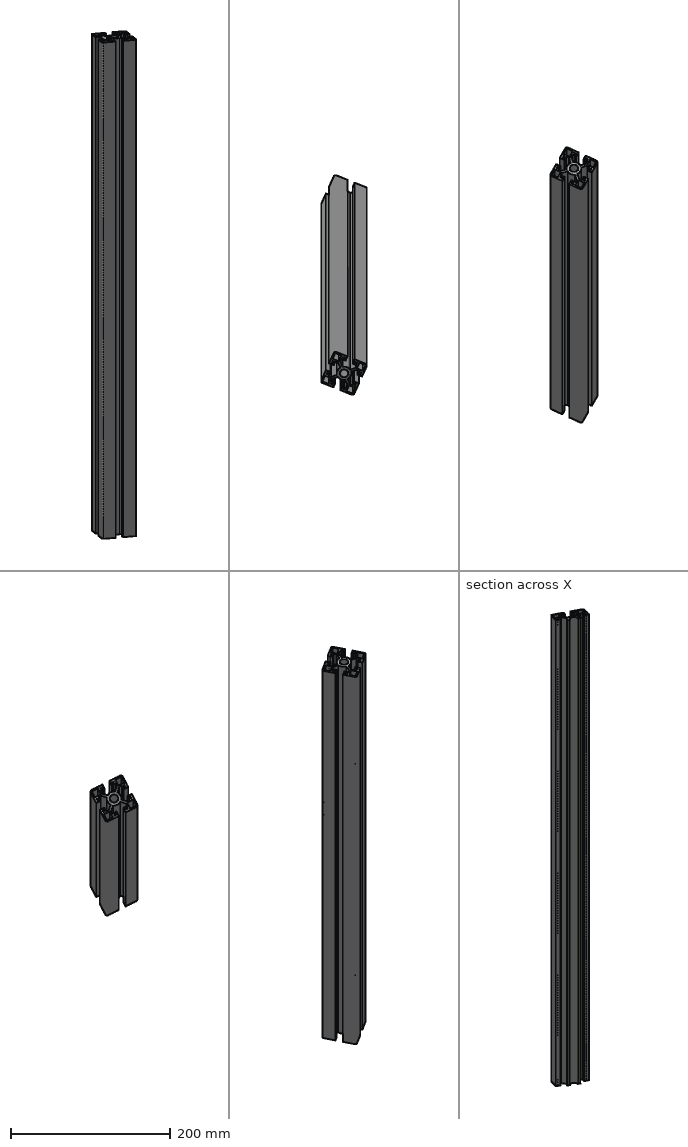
import cadquery as cq

side = 45.0
length = 645.0
corner_radius = 2.5

slot_opening = 9.5
lip_thickness = 6.5
cavity_width = 21.0

groove_depth = 3.0
groove_tip_x = 6.5
groove_mouth_x = 8.0
groove_floor_x = 9.5

core_radius = 9.0
bore_radius = 5.0
web_thickness = 3.0
corner_hole_side = 8.5
corner_wall = 2.0

half_side = side / 2
cavity_top = half_side - lip_thickness
groove_top = cavity_top + groove_depth
corner_hole_center = half_side - corner_wall - corner_hole_side / 2
web_offset = web_thickness / 2**0.5


def make_slot():
    """T-slot open towards +Y, with 45-degree flanks converging on the core."""
    half_opening = slot_opening / 2
    half_cavity = cavity_width / 2
    right_half = [
        (half_cavity, half_cavity + web_offset),
        (half_cavity, cavity_top),
        (groove_mouth_x, cavity_top),
        (groove_floor_x, groove_top),
        (groove_tip_x, groove_top),
        (groove_tip_x, cavity_top),
        (half_opening, cavity_top),
        (half_opening, half_side),
    ]
    left_half = [(-x, y) for x, y in reversed(right_half)]
    outline = [(0, web_offset)] + right_half + left_half
    return cq.Workplane("XY").polyline(outline).close().extrude(length)


profile = cq.Workplane("XY").rect(side, side).extrude(length).edges("|Z").fillet(corner_radius)

slot = make_slot()
for quarter_turn in range(4):
    profile = profile.cut(slot.rotate((0, 0, 0), (0, 0, 1), 90 * quarter_turn))

core = cq.Workplane("XY").circle(core_radius).extrude(length)
bore = cq.Workplane("XY").circle(bore_radius).extrude(length)
profile = profile.union(core).cut(bore)

corner_holes = (
    cq.Workplane("XY")
    .rarray(2 * corner_hole_center, 2 * corner_hole_center, 2, 2)
    .rect(corner_hole_side, corner_hole_side)
    .extrude(length)
)
result = profile.cut(corner_holes)